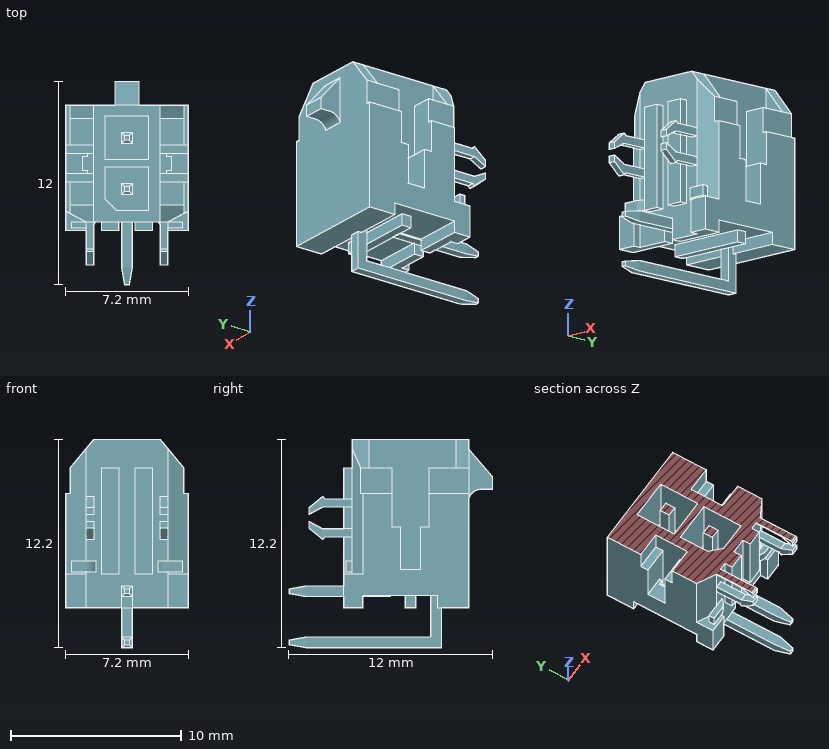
import cadquery as cq
import math


HALF_WIDTH = 3.6
DEPTH = 6.86
HEIGHT = 9.9

STEP_Z = 6.73
SHOULDER_HALF_WIDTH = 3.34
SHOULDER_Z = 8.23
TOP_HALF_WIDTH = 1.95
RELIEF_FRONT_Y = 1.0
RELIEF_BACK_Y = 6.09

CORNER_X = 2.4
CORNER_Y = 0.64
FOOT_HEIGHT = 2.0
FOOT_PROJECTION = 0.5

SLOT_CENTRE_Y = 3.43
WIDE_SLOT_WIDTH = 2.17
WIDE_SLOT_FLOOR_Z = 4.75
NARROW_SLOT_WIDTH = 1.18
NARROW_SLOT_FLOOR_Z = 2.27
WELL_NECK_X = 2.33
WELL_END_X = 2.62
WELL_STEM_WIDTH = 0.81
WELL_DEPTH = 1.0

RECESS_BACK_Y = 5.01
RECESS_HEIGHT = 0.73
CROSSBAR_WIDTH = 0.64

PIN_PITCH = 3.0
FIRST_PIN_Y = 1.94
CAVITY_SIZE = 2.55
CAVITY_FLOOR_Z = 2.0
KEY_CHAMFER = 0.68

PIN_WIDTH = 0.64
PIN_TIP_WIDTH = 0.28
PIN_TIP_LENGTH = 1.0
PIN_TOP_Z = 7.0
PIN_END_Y = -3.69
LOWER_ROW_Z = -2.34
ROW_SPACING = 3.0

RIB_INNER_X = 0.47
RIB_WIDTH = 1.03

LATCH_WIDTH = 1.42
LATCH_PROJECTION = 1.4
LATCH_TOP_Z = 9.32
LATCH_NOSE_TOP_Z = 7.69
LATCH_NOSE_BOTTOM_Z = 6.96
LATCH_ROOT_Z = 6.44
LATCH_ARC_LENGTH = 0.72

PRONG_THICKNESS = 0.46
PRONG_MID_Z = 5.285
PRONG_OUTER = 1.125
PRONG_INNER = 0.63
BARB_OUTER = 1.27
BARB_START_Y = -1.59
BARB_PEAK_Y = -1.72
PRONG_TIP_Y = -2.53
PRONG_TIP_OUTER = 0.6
PRONG_TIP_INNER = 0.2

LUG_OUTER_X = 3.26
LUG_ROUND_X = 2.47
LUG_INNER_X = 1.83
LUG_PROJECTION = 0.365
LUG_BOTTOM_Z = 2.125
LUG_TOP_Z = 2.76


def box(x0, x1, y0, y1, z0, z1):
    """Box between opposite corners."""
    return cq.Workplane("XY").box(x1 - x0, y1 - y0, z1 - z0, centered=False).translate((x0, y0, z0))


def both_sides(solid):
    """The solid together with its mirror image across x = 0."""
    return solid.union(solid.mirror("YZ"))


def side_profile(points, x0, x1):
    """Closed (y, z) outline extruded along X."""
    return cq.Workplane("YZ").polyline(points).close().extrude(x1 - x0).translate((x0, 0, 0))


def arc_mid_point(tangent_point, end_point, along, across):
    """Middle of the arc that leaves tangent_point in the unit direction `along`
    and bends towards the unit direction `across` until end_point."""
    du = end_point[0] - tangent_point[0]
    dv = end_point[1] - tangent_point[1]
    rise = du * across[0] + dv * across[1]
    radius = (du**2 + dv**2) / (2 * rise)
    half_angle = math.atan2(rise, du * along[0] + dv * along[1])
    run_mid = radius * math.sin(half_angle)
    rise_mid = radius * (1 - math.cos(half_angle))
    return (
        tangent_point[0] + run_mid * along[0] + rise_mid * across[0],
        tangent_point[1] + run_mid * along[1] + rise_mid * across[1],
    )


def make_shell():
    """Housing block with its stepped, bevelled outline, front feet and corner bevels."""
    outline = [
        (-HALF_WIDTH, 0),
        (HALF_WIDTH, 0),
        (HALF_WIDTH, STEP_Z),
        (SHOULDER_HALF_WIDTH, STEP_Z),
        (SHOULDER_HALF_WIDTH, SHOULDER_Z),
        (TOP_HALF_WIDTH, HEIGHT),
        (-TOP_HALF_WIDTH, HEIGHT),
        (-SHOULDER_HALF_WIDTH, SHOULDER_Z),
        (-SHOULDER_HALF_WIDTH, STEP_Z),
        (-HALF_WIDTH, STEP_Z),
    ]
    shell = cq.Workplane("XZ").polyline(outline).close().extrude(-DEPTH)
    corner = (
        cq.Workplane("XY")
        .workplane(offset=FOOT_HEIGHT)
        .polyline([(CORNER_X, 0), (HALF_WIDTH, 0), (HALF_WIDTH, CORNER_Y)])
        .close()
        .extrude(HEIGHT - FOOT_HEIGHT)
    )
    foot = box(CORNER_X, HALF_WIDTH, -FOOT_PROJECTION, CORNER_Y, 0, FOOT_HEIGHT)
    return shell.cut(both_sides(corner)).union(both_sides(foot))


def make_side_cuts():
    """Shoulder reliefs, stepped slots and floor wells of both sides."""

    def slot(inner_x, outer_x, width, z0, z1):
        return box(inner_x, outer_x, SLOT_CENTRE_Y - width / 2, SLOT_CENTRE_Y + width / 2, z0, z1)

    well_bottom_z = NARROW_SLOT_FLOOR_Z - WELL_DEPTH
    relief = box(TOP_HALF_WIDTH, HALF_WIDTH, RELIEF_FRONT_Y, RELIEF_BACK_Y, SHOULDER_Z, HEIGHT)
    wide = slot(TOP_HALF_WIDTH, HALF_WIDTH, WIDE_SLOT_WIDTH, WIDE_SLOT_FLOOR_Z, HEIGHT)
    narrow = slot(TOP_HALF_WIDTH, HALF_WIDTH, NARROW_SLOT_WIDTH, NARROW_SLOT_FLOOR_Z, WIDE_SLOT_FLOOR_Z)
    well_bar = slot(TOP_HALF_WIDTH, WELL_NECK_X, NARROW_SLOT_WIDTH, well_bottom_z, NARROW_SLOT_FLOOR_Z)
    well_stem = slot(TOP_HALF_WIDTH, WELL_END_X, WELL_STEM_WIDTH, well_bottom_z, NARROW_SLOT_FLOOR_Z)
    return both_sides(relief.union(wide).union(narrow).union(well_bar).union(well_stem))


def make_underside_recess():
    """Recess through the full width of the underside, with a crossbar left standing in it."""
    recess = box(-HALF_WIDTH, HALF_WIDTH, CORNER_Y, RECESS_BACK_Y, 0, RECESS_HEIGHT)
    crossbar = box(
        -WELL_END_X,
        WELL_END_X,
        SLOT_CENTRE_Y - CROSSBAR_WIDTH / 2,
        SLOT_CENTRE_Y + CROSSBAR_WIDTH / 2,
        0,
        RECESS_HEIGHT,
    )
    return recess.cut(crossbar)


def make_cavity(pin_y, keyed):
    """Square terminal cavity, with one bevelled corner when keyed."""
    half = CAVITY_SIZE / 2
    cavity = box(-half, half, pin_y - half, pin_y + half, CAVITY_FLOOR_Z, HEIGHT)
    if keyed:
        cavity = cavity.edges("|Z and <X and <Y").chamfer(KEY_CHAMFER)
    return cavity


def make_pin_tip(plane):
    """Tapered pin end that grows along the normal of the given plane."""
    return (
        cq.Workplane(plane)
        .rect(PIN_WIDTH, PIN_WIDTH)
        .workplane(offset=PIN_TIP_LENGTH)
        .rect(PIN_TIP_WIDTH, PIN_TIP_WIDTH)
        .loft(ruled=True)
    )


def make_pin(pin_y, bottom_z):
    """L-shaped square terminal: upright leg at pin_y, board leg along -Y, both ends tapered."""
    half = PIN_WIDTH / 2
    upright_end_z = PIN_TOP_Z - PIN_TIP_LENGTH
    board_end_y = PIN_END_Y + PIN_TIP_LENGTH
    upright = box(-half, half, pin_y - half, pin_y + half, bottom_z, upright_end_z)
    board_leg = box(-half, half, board_end_y, pin_y + half, bottom_z, bottom_z + PIN_WIDTH)
    upright_tip = make_pin_tip("XY").translate((0, pin_y, upright_end_z))
    board_tip = make_pin_tip("XZ").translate((0, board_end_y, bottom_z + half))
    return upright.union(board_leg).union(upright_tip).union(board_tip)


def make_pin_slot():
    """Slot in the front wall below the upper board leg."""
    half = PIN_WIDTH / 2
    return box(-half, half, 0, CORNER_Y, 0, LOWER_ROW_Z + ROW_SPACING)


def make_ribs():
    """Two upright ribs on the front wall."""
    rib = box(RIB_INNER_X, RIB_INNER_X + RIB_WIDTH, -FOOT_PROJECTION, 0, FOOT_HEIGHT, SHOULDER_Z)
    return both_sides(rib)


def make_latch():
    """Latch ramp on the back wall, hollowed by an arc under its nose."""
    nose_y = DEPTH + LATCH_PROJECTION
    arc_start = (DEPTH + LATCH_ARC_LENGTH, LATCH_NOSE_BOTTOM_Z)
    arc_end = (DEPTH, LATCH_ROOT_Z)
    arc_mid = arc_mid_point(arc_start, arc_end, (-1, 0), (0, -1))
    return (
        cq.Workplane("YZ")
        .moveTo(DEPTH, LATCH_TOP_Z)
        .lineTo(nose_y, LATCH_NOSE_TOP_Z)
        .lineTo(nose_y, LATCH_NOSE_BOTTOM_Z)
        .lineTo(*arc_start)
        .threePointArc(arc_mid, arc_end)
        .close()
        .extrude(LATCH_WIDTH / 2, both=True)
    )


def make_board_clips():
    """Four barbed prongs: an upper and a lower one on each side."""
    prong_outline = [
        (CORNER_Y, PRONG_OUTER),
        (BARB_START_Y, PRONG_OUTER),
        (BARB_PEAK_Y, BARB_OUTER),
        (PRONG_TIP_Y, PRONG_TIP_OUTER),
        (PRONG_TIP_Y, PRONG_TIP_INNER),
        (BARB_PEAK_Y, PRONG_INNER),
        (CORNER_Y, PRONG_INNER),
    ]
    prongs = cq.Workplane("XY")
    for direction in (1, -1):
        points = [(y, PRONG_MID_Z + direction * offset) for y, offset in prong_outline]
        prongs = prongs.union(side_profile(points, CORNER_X - PRONG_THICKNESS, CORNER_X))
    return both_sides(prongs)


def make_lugs():
    """Two small lugs on the front wall, rounded towards the middle."""
    arc_start = (LUG_ROUND_X, -LUG_PROJECTION)
    arc_end = (LUG_INNER_X, 0)
    arc_mid = arc_mid_point(arc_start, arc_end, (-1, 0), (0, 1))
    lug = (
        cq.Workplane("XY")
        .workplane(offset=LUG_BOTTOM_Z)
        .moveTo(LUG_OUTER_X, 0)
        .lineTo(LUG_OUTER_X, -LUG_PROJECTION)
        .lineTo(*arc_start)
        .threePointArc(arc_mid, arc_end)
        .close()
        .extrude(LUG_TOP_Z - LUG_BOTTOM_Z)
    )
    return both_sides(lug)


def make_part():
    """Housing with its cuts and attachments, then one cavity and one terminal per position."""
    first_pin = (FIRST_PIN_Y, LOWER_ROW_Z + ROW_SPACING)
    second_pin = (FIRST_PIN_Y + PIN_PITCH, LOWER_ROW_Z)
    part = make_shell().cut(make_side_cuts()).cut(make_underside_recess()).cut(make_pin_slot())
    part = part.union(make_ribs()).union(make_latch()).union(make_lugs()).union(make_board_clips())
    part = part.cut(make_cavity(first_pin[0], keyed=True))
    part = part.cut(make_cavity(second_pin[0], keyed=False))
    for pin_y, bottom_z in (first_pin, second_pin):
        part = part.union(make_pin(pin_y, bottom_z))
    return part


result = make_part()